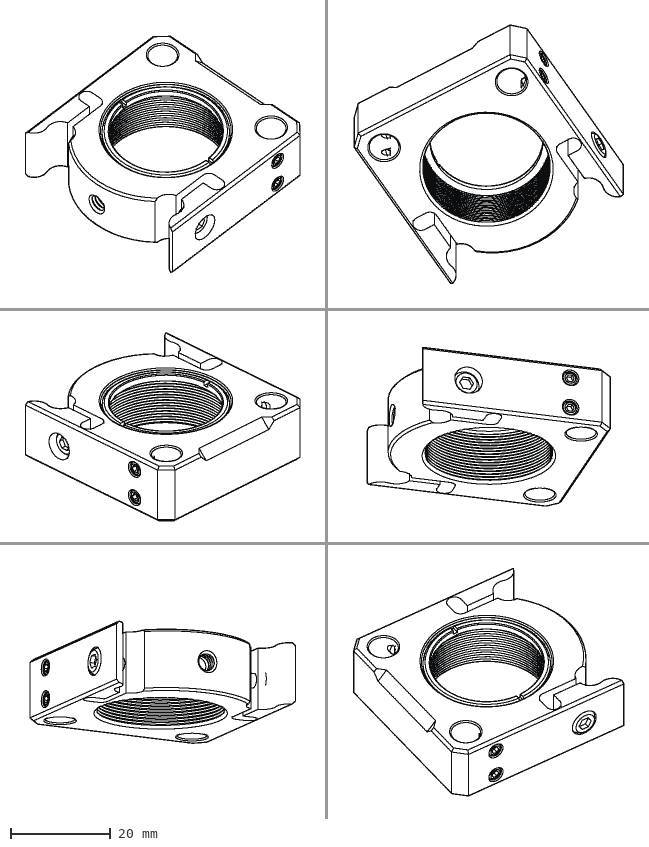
import cadquery as cq
import math

width = 40.6
height = 12.7
half_width = width / 2
half_height = height / 2
corner_cut = 2.45
edge_chamfer = 0.6

nose_radius = 18.1
nose_front = 20.35
nose_center_y = nose_radius - nose_front
nose_chamfer = 0.5

rod_offset = 15.0
rod_radius = 3.0
rod_hole_chamfer = 0.3
groove_inner_x = 11.95

lobe_x = 20.7
arm_slot_end = 19.53
arm_slot_width = 3.2
arm_slot_y = -4.15
slit_inner_x = 14.2
slit_width = 1.5
slit_outer_x = slit_inner_x + slit_width

notch_floor_half = 8.92
notch_mouth_half = 10.4
notch_depth = 2.05

thread_minor = 12.8
thread_major = 13.15
thread_pitch = 0.635
bore_mouth_radius = 13.43

ring_inner_radius = 11.4
ring_height = 1.55
ring_recess = 0.33
ring_outer_chamfer = 0.4
ring_inner_chamfer = 0.2
ring_slot_width = 1.0
ring_slot_depth = 0.9

mount_minor = 1.7
mount_major = 2.1
mount_mouth_radius = 2.25
mount_pitch = 0.795
mount_depth = 4.1
drill_point_angle = 118

clamp_y = -10.07
shank_radius = 1.47
shank_tip_x = 11.05
head_radius = 2.85
head_height = 1.65
head_top_radius = 2.2
head_dome_height = 1.0
head_dome_rise = 0.33
head_socket_flats = 2.5
head_socket_depth = 1.02
left_head_projection = 0.33
right_head_seat_x = 17.2
left_head_seat_x = half_width + left_head_projection - head_height

set_screw_y = 11.25
set_screw_z = 3.28
set_screw_radius = 1.47
set_screw_length = 4.75
set_screw_recess = 0.2
set_screw_rear_radius = 1.1
set_screw_tip_radius = 0.75
set_screw_tip_length = 0.6
set_screw_socket_flats = 1.4
set_screw_socket_depth = 1.0
set_hole_mouth_radius = 1.7

sides = (-1, 1)


def hexagon_diameter(across_flats):
    return across_flats / math.cos(math.pi / 6)


def thread_profile(minor, major, mouth, pitch, start, end):
    """(radius, distance) points of a ring-grooved bore with a flared mouth at `start`."""
    points = [(0, start), (mouth, start), (major, start + mouth - major)]
    groove = start + mouth - major
    while groove + pitch < end - (mouth - major):
        points += [(minor, groove + pitch / 2), (major, groove + pitch)]
        groove += pitch
    return points


def plate_blank():
    """Chamfered plate, overlong at the front where the rod grooves trim it."""
    front = -nose_front - edge_chamfer
    outline = [
        (-half_width, front),
        (half_width, front),
        (half_width, half_width - corner_cut),
        (half_width - corner_cut, half_width),
        (-half_width + corner_cut, half_width),
        (-half_width, half_width - corner_cut),
    ]
    plate = cq.Workplane("XY").polyline(outline).close().extrude(half_height, both=True)
    return plate.faces("|Z").edges().chamfer(edge_chamfer)


def front_window():
    """Block between the rod grooves, where the nose replaces the plate."""
    window = cq.Workplane("XY").box(2 * groove_inner_x, half_width, height)
    return window.translate((0, -rod_offset - half_width / 2, 0))


def nose():
    disc = (
        cq.Workplane("XY")
        .center(0, nose_center_y)
        .circle(nose_radius)
        .extrude(half_height, both=True)
    )
    return disc.edges().chamfer(nose_chamfer).intersect(front_window())


def rod_groove():
    """Groove on the -X side: a round rod seat that flows into the rounded lip of the arm."""
    lobe_y = -rod_offset - math.sqrt((2 * rod_radius) ** 2 - (lobe_x - rod_offset) ** 2)
    blend = (-(rod_offset + lobe_x) / 2, (lobe_y - rod_offset) / 2)
    lip_side = rod_radius * math.sqrt(0.5)
    return (
        cq.Workplane("XY")
        .moveTo(-groove_inner_x, -rod_offset)
        .threePointArc((-rod_offset, -rod_offset + rod_radius), blend)
        .threePointArc((-lobe_x + lip_side, lobe_y - lip_side), (-lobe_x, lobe_y - rod_radius))
        .lineTo(-lobe_x, -width)
        .lineTo(-groove_inner_x, -width)
        .close()
        .extrude(half_height, both=True)
    )


def arm_slot():
    """Rounded cross slot on the -X side and the slit that joins it to the rod groove."""
    length = arm_slot_end - slit_inner_x
    cross = (
        cq.Workplane("XY")
        .center(-(arm_slot_end + slit_inner_x) / 2, arm_slot_y)
        .slot2D(length, arm_slot_width)
        .extrude(half_height, both=True)
    )
    slit_length = rod_offset + arm_slot_y
    slit = cq.Workplane("XY").box(slit_width, slit_length, height).translate(
        (-(slit_inner_x + slit_outer_x) / 2, arm_slot_y - slit_length / 2, 0)
    )
    return cross.union(slit)


def back_notch():
    floor_y = half_width - notch_depth
    mouth_y = half_width - edge_chamfer
    corners = [
        (-notch_floor_half, floor_y),
        (notch_floor_half, floor_y),
        (notch_mouth_half, mouth_y),
        (-notch_mouth_half, mouth_y),
    ]
    wire = cq.Wire.makePolygon([cq.Vector(x, y, half_height) for x, y in corners], close=True)
    slope = cq.Vector(0, notch_depth, -notch_depth)
    return cq.Workplane(cq.Solid.extrudeLinear(wire, [], slope))


def lens_bore():
    points = thread_profile(
        thread_minor, thread_major, bore_mouth_radius, thread_pitch, -half_height, half_height
    )
    flare = bore_mouth_radius - thread_major
    points += [(thread_major, half_height - flare), (bore_mouth_radius, half_height), (0, half_height)]
    return cq.Workplane("XZ").polyline(points).close().revolve(360, (0, 0), (0, 1))


def mounting_hole():
    points = thread_profile(mount_minor, mount_major, mount_mouth_radius, mount_pitch, 0, mount_depth)
    point_length = mount_minor / math.tan(math.radians(drill_point_angle / 2))
    points += [(mount_minor, mount_depth), (0, mount_depth + point_length)]
    hole = cq.Workplane("XY").polyline(points).close().revolve(360, (0, 0), (0, 1))
    return hole.translate((0, -nose_front, 0))


def rod_hole():
    profile = [
        (0, -half_height),
        (rod_radius + rod_hole_chamfer, -half_height),
        (rod_radius, -half_height + rod_hole_chamfer),
        (rod_radius, half_height - rod_hole_chamfer),
        (rod_radius + rod_hole_chamfer, half_height),
        (0, half_height),
    ]
    return cq.Workplane("XZ").polyline(profile).close().revolve(360, (0, 0), (0, 1))


def clamp_hole(seat_x):
    """Counterbored hole for a clamp screw on the -X side."""
    plane = cq.Workplane("YZ").center(clamp_y, 0)
    shank = plane.circle(shank_radius).extrude(half_width - shank_tip_x)
    counterbore = plane.circle(head_radius).extrude(half_width - seat_x)
    return shank.union(counterbore).translate((-half_width, 0, 0))


def set_screw_hole():
    """Set screw hole along +X from the origin, with a flared mouth."""
    depth = set_screw_recess + set_screw_length
    flare = set_hole_mouth_radius - set_screw_radius
    profile = [
        (0, 0),
        (0, set_hole_mouth_radius),
        (flare, set_screw_radius),
        (depth, set_screw_radius),
        (depth, 0),
    ]
    return cq.Workplane("XY").polyline(profile).close().revolve(360, (0, 0), (1, 0))


def on_side(body, side):
    """A body made for the -X side, mirrored to +X where needed."""
    return body if side < 0 else body.mirror("YZ")


def make_housing(set_screw_places, head_seats):
    housing = plate_blank().cut(front_window()).union(nose())
    for side in sides:
        housing = housing.cut(on_side(rod_groove(), side)).cut(on_side(arm_slot(), side))
        housing = housing.cut(rod_hole().translate((side * rod_offset, rod_offset, 0)))
        housing = housing.cut(on_side(clamp_hole(head_seats[side]), side))
    for side, z in set_screw_places:
        hole = set_screw_hole().translate((-half_width, set_screw_y, z))
        housing = housing.cut(on_side(hole, side))
    return housing.cut(back_notch()).cut(lens_bore()).cut(mounting_hole())


def make_retaining_ring():
    top = half_height - ring_recess
    ring = (
        cq.Workplane("XY")
        .workplane(offset=top - ring_height)
        .circle(thread_minor)
        .circle(ring_inner_radius)
        .extrude(ring_height)
    )
    ring = ring.faces(">Z").edges(cq.selectors.RadiusNthSelector(1)).chamfer(ring_outer_chamfer)
    ring = ring.faces(">Z").edges(cq.selectors.RadiusNthSelector(0)).chamfer(ring_inner_chamfer)
    spanner_slot = cq.Workplane("XY").box(2 * thread_major, ring_slot_width, 2 * ring_slot_depth)
    return ring.cut(spanner_slot.translate((0, 0, top)))


def make_clamp_screw(seat_x):
    """Button-head screw on the -X side, its head seated at x = -seat_x."""
    top_x = -seat_x - head_height
    dome_x = top_x + head_dome_height
    dome_middle = (top_x + head_dome_rise, (head_top_radius + head_radius) / 2)
    screw = (
        cq.Workplane("XY")
        .moveTo(top_x, 0)
        .lineTo(top_x, head_top_radius)
        .threePointArc(dome_middle, (dome_x, head_radius))
        .lineTo(-seat_x, head_radius)
        .lineTo(-seat_x, shank_radius)
        .lineTo(-shank_tip_x, shank_radius)
        .lineTo(-shank_tip_x, 0)
        .close()
        .revolve(360, (0, 0), (1, 0))
    )
    socket = (
        cq.Workplane("YZ")
        .polygon(6, hexagon_diameter(head_socket_flats))
        .extrude(head_socket_depth)
        .translate((top_x, 0, 0))
    )
    return screw.cut(socket).translate((0, clamp_y, 0))


def make_set_screw():
    """Set screw along +X with its socket end at the origin."""
    rear_chamfer = set_screw_radius - set_screw_rear_radius
    profile = [
        (0, 0),
        (0, set_screw_rear_radius),
        (rear_chamfer, set_screw_radius),
        (set_screw_length - set_screw_tip_length, set_screw_radius),
        (set_screw_length, set_screw_tip_radius),
        (set_screw_length, 0),
    ]
    screw = cq.Workplane("XY").polyline(profile).close().revolve(360, (0, 0), (1, 0))
    socket = (
        cq.Workplane("YZ")
        .polygon(6, hexagon_diameter(set_screw_socket_flats))
        .extrude(set_screw_socket_depth)
    )
    return screw.cut(socket)


head_seats = {-1: left_head_seat_x, 1: right_head_seat_x}
set_screw_places = [(side, z) for side in sides for z in (-set_screw_z, set_screw_z)]

housing = make_housing(set_screw_places, head_seats)
retaining_ring = make_retaining_ring()
clamp_screws = [on_side(make_clamp_screw(head_seats[side]), side) for side in sides]
set_screws = [
    on_side(make_set_screw().translate((-half_width + set_screw_recess, set_screw_y, z)), side)
    for side, z in set_screw_places
]

result = cq.Compound.makeCompound(
    [
        housing.val(),
        retaining_ring.val(),
        *[screw.val() for screw in clamp_screws],
        *[screw.val() for screw in set_screws],
    ]
)